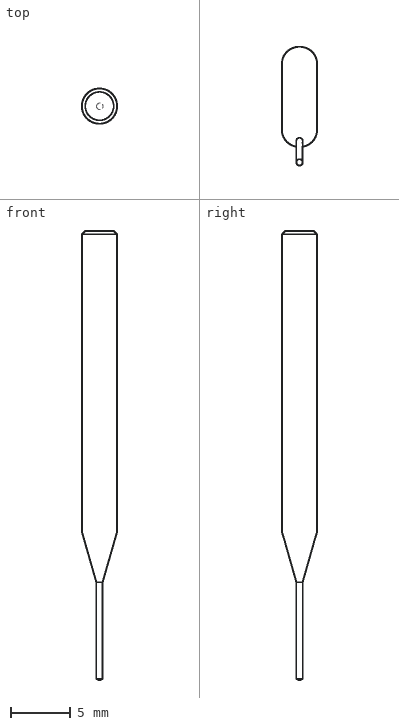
import cadquery as cq
import math

overall_length = 38.0
shank_diameter = 3.0
drill_diameter = 0.55

shank_bottom = 8.3

taper_half_angle = 16.0

chamfer_size = 0.3

point_angle = 130.0

shank_radius = shank_diameter / 2
drill_radius = drill_diameter / 2
taper_length = (shank_radius - drill_radius) / math.tan(math.radians(taper_half_angle))
taper_top = shank_bottom + taper_length
point_height = drill_radius / math.tan(math.radians(point_angle / 2))


def revolve_about_z(profile):
    """Turn a closed half profile, drawn in the XZ plane, into a round body."""
    return profile.revolve(360, (0, 0, 0), (0, 1, 0))


def make_shank():
    """Chamfered round shank that tapers down to the drill diameter."""
    profile = (
        cq.Workplane("XZ")
        .moveTo(0, shank_bottom)
        .lineTo(drill_radius, shank_bottom)
        .lineTo(shank_radius, taper_top)
        .lineTo(shank_radius, overall_length - chamfer_size)
        .lineTo(shank_radius - chamfer_size, overall_length)
        .lineTo(0, overall_length)
        .close()
    )
    return revolve_about_z(profile)


def make_drill():
    """Thin round drill with a conical point, butted against the taper's end face."""
    profile = (
        cq.Workplane("XZ")
        .moveTo(0, 0)
        .lineTo(drill_radius, point_height)
        .lineTo(drill_radius, shank_bottom)
        .lineTo(0, shank_bottom)
        .close()
    )
    return revolve_about_z(profile)


shank = make_shank()
drill = make_drill()

result = cq.Compound.makeCompound([shank.val(), drill.val()])